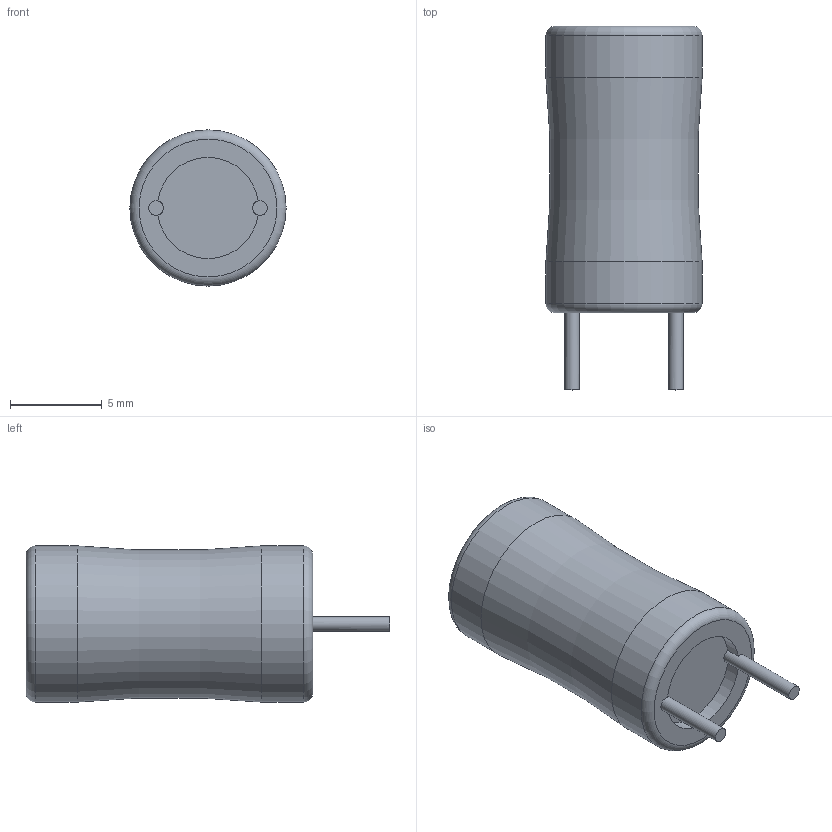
import cadquery as cq


body_diameter = 8.5
body_length = 15.6
waist_diameter = 8.0
waist_length = 10.04
edge_fillet = 0.5

recess_diameter = 5.5
recess_depth = 0.8

lead_diameter = 0.8
lead_spacing = 5.65
lead_protrusion = 4.2

body_radius = body_diameter / 2
waist_radius = waist_diameter / 2
collar_length = (body_length - waist_length) / 2


def make_body():
    """Revolved body: two cylindrical collars joined by a concave waist."""
    waist_start = collar_length
    waist_end = body_length - collar_length
    profile = (
        cq.Workplane("XY")
        .moveTo(0, 0)
        .lineTo(body_radius, 0)
        .lineTo(body_radius, waist_start)
        .threePointArc((waist_radius, body_length / 2), (body_radius, waist_end))
        .lineTo(body_radius, body_length)
        .lineTo(0, body_length)
        .close()
    )
    body = profile.revolve(360, (0, 0, 0), (0, 1, 0))
    return body.faces("<Y or >Y").edges().fillet(edge_fillet)


def cylinder_along_y(diameter, y_start, y_end, x=0):
    """Solid cylinder parallel to Y between two Y positions."""
    axis_start = cq.Vector(x, y_start, 0)
    toward_plus_y = cq.Vector(0, 1, 0)
    return cq.Workplane(cq.Solid.makeCylinder(diameter / 2, y_end - y_start, axis_start, toward_plus_y))


def make_lead(side):
    """One lead, running from the recess floor out past the lead-side face."""
    return cylinder_along_y(lead_diameter, -lead_protrusion, recess_depth, side * lead_spacing / 2)


result = make_body().cut(cylinder_along_y(recess_diameter, 0, recess_depth))
for side in (-1, 1):
    result = result.union(make_lead(side))